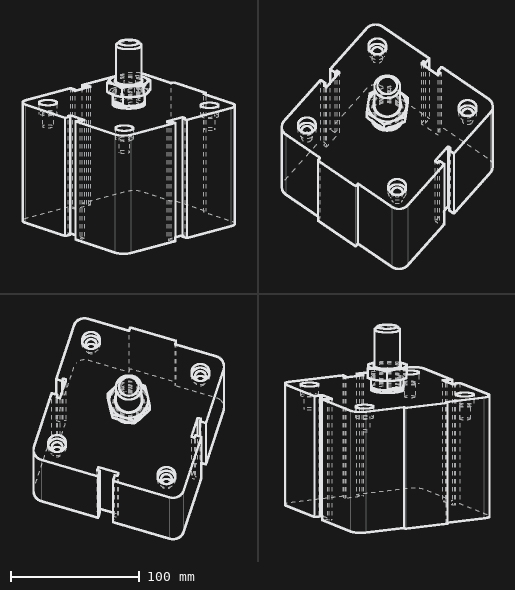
import cadquery as cq
import math

housing_width = 122.0
housing_height = 96.4
corner_radius = 8.8
half_width = housing_width / 2

rib_width = 37.5
rib_projection = 3.0
rib_edge_radius = 0.5

slot_mouth_width = 12.0
slot_inner_width = 16.4
slot_lip_depth = 4.8
slot_depth = 7.5

hole_spacing = 89.0
counterbore_diameter = 14.0
counterbore_depth = 8.5
hole_diameter = 8.4
hole_depth = 19.3

stem_diameter = 25.0
groove_z = 98.5
shoulder_z = 106.5
edge_chamfer = 0.3
thread_diameter = 20.0
thread_chamfer = 2.3
rod_top_z = 146.5

flats_distance = 22.3
flats_bottom_z = 99.8

nut_across_flats = 30.0
nut_height = 9.0
nut_bevel_height = 1.0
nut_face_diameter = 29.9
nut_countersink_diameter = 21.5
nut_across_corners = nut_across_flats / math.cos(math.pi / 6)


def make_slot(angle):
    """T-slot cutter in the -Y side, turned about the rod axis by the angle in degrees."""
    mouth = cq.Workplane("XY").box(
        slot_mouth_width, slot_lip_depth, housing_height, centered=(True, False, False)
    )
    pocket = (
        cq.Workplane("XY")
        .box(slot_inner_width, slot_depth - slot_lip_depth, housing_height, centered=(True, False, False))
        .translate((0, slot_lip_depth, 0))
    )
    slot = mouth.union(pocket).translate((0, -half_width, 0))
    return slot.rotate((0, 0, 0), (0, 0, 1), angle)


def make_housing():
    """Rounded block with a rib, three T-slots and four counterbored holes."""
    block = (
        cq.Workplane("XY")
        .box(housing_width, housing_width, housing_height, centered=(True, True, False))
        .edges("|Z")
        .fillet(corner_radius)
    )
    rib_reach = half_width + rib_projection
    rib = (
        cq.Workplane("XY")
        .box(rib_width, rib_reach, housing_height, centered=(True, False, False))
        .edges("|Z and >Y")
        .fillet(rib_edge_radius)
    )
    body = block.union(rib)
    for angle in (-90, 0, 90):
        body = body.cut(make_slot(angle))
    return (
        body.faces(">Z")
        .workplane(origin=(0, 0, housing_height))
        .rect(hole_spacing, hole_spacing, forConstruction=True)
        .vertices()
        .cboreHole(hole_diameter, counterbore_diameter, counterbore_depth, depth=hole_depth)
    )


def make_rod():
    """Stepped piston rod with a narrow V-groove round its foot and two wrench flats below the nut."""
    stem_radius = stem_diameter / 2
    stem = (
        cq.Workplane("XY", origin=(0, 0, housing_height))
        .circle(stem_radius)
        .extrude(shoulder_z - housing_height)
        .faces(">Z")
        .chamfer(edge_chamfer)
    )
    groove = (
        cq.Workplane("XZ")
        .moveTo(stem_radius, groove_z - edge_chamfer)
        .lineTo(stem_radius - edge_chamfer, groove_z)
        .lineTo(stem_radius, groove_z + edge_chamfer)
        .close()
        .revolve(360, (0, 0, 0), (0, 1, 0))
    )
    stem = stem.cut(groove)
    flat_cutter = cq.Workplane("XY").box(
        stem_diameter, stem_diameter, shoulder_z - flats_bottom_z, centered=(True, True, False)
    )
    for side in (-1, 1):
        cutter_y = side * (flats_distance + stem_diameter) / 2
        stem = stem.cut(flat_cutter.translate((0, cutter_y, flats_bottom_z)))
    thread = (
        cq.Workplane("XY", origin=(0, 0, shoulder_z))
        .circle(thread_diameter / 2)
        .extrude(rod_top_z - shoulder_z)
        .faces(">Z")
        .chamfer(thread_chamfer)
    )
    return stem.union(thread)


def make_nut():
    """Hex nut with bevelled corners and a bore countersunk at both ends."""
    hexagon = cq.Workplane("XY").polygon(6, nut_across_corners).extrude(nut_height)
    face_radius = nut_face_diameter / 2
    corner_reach = nut_across_corners / 2
    bevel_envelope = (
        cq.Workplane("XZ")
        .moveTo(0, 0)
        .lineTo(face_radius, 0)
        .lineTo(corner_reach, nut_bevel_height)
        .lineTo(corner_reach, nut_height - nut_bevel_height)
        .lineTo(face_radius, nut_height)
        .lineTo(0, nut_height)
        .close()
        .revolve(360, (0, 0, 0), (0, 1, 0))
    )
    bore = cq.Workplane("XY").circle(thread_diameter / 2).extrude(nut_height)
    countersink_depth = (nut_countersink_diameter - thread_diameter) / 2
    nut = hexagon.intersect(bevel_envelope).cut(bore)
    nut = nut.faces("<Z or >Z").edges(cq.selectors.RadiusNthSelector(0)).chamfer(countersink_depth)
    return nut.translate((0, 0, shoulder_z))


housing = make_housing()
rod = make_rod()
nut = make_nut()

result = cq.Compound.makeCompound([housing.val(), rod.val(), nut.val()])